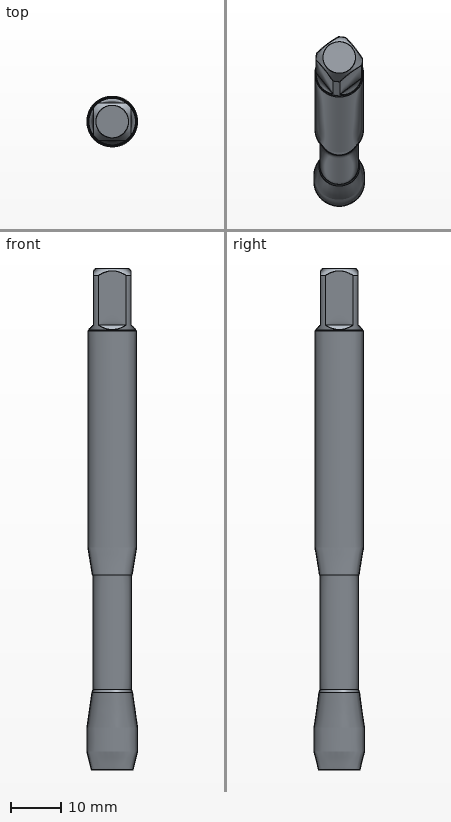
import cadquery as cq

length = 100.1

head_diameter = 10.1
tip_diameter = 8.3
head_rear_diameter = 8.1
lead_end_z = 3.6
head_cylinder_end_z = 8.4
head_end_z = 15.4

neck_diameter = 7.7
neck_start_z = 16.0
neck_end_z = 38.8
neck_shoulder_diameter = 7.9
shank_diameter = 9.7
shank_start_z = 44.3
shank_end_z = 87.6

square_width = 7.5
drive_diameter = 9.3
drive_top_diameter = 6.5
square_start_z = 88.8


def revolve_profile(points):
    """Revolve (radius, z) points about the Z axis."""
    return cq.Workplane("XZ").polyline(points).close().revolve(360, (0, 0, 0), (0, 1, 0))


def make_head():
    """Cutting head: tapered lead, cylinder and a taper towards the neck."""
    return revolve_profile([
        (0, 0),
        (tip_diameter / 2, 0),
        (head_diameter / 2, lead_end_z),
        (head_diameter / 2, head_cylinder_end_z),
        (head_rear_diameter / 2, head_end_z),
        (0, head_end_z),
    ])


def make_round_shank():
    """Neck, shank and drive blank, with 45 degree chamfers at the drive."""
    drive_chamfer = (drive_diameter - drive_top_diameter) / 2
    shank_chamfer = (shank_diameter - drive_diameter) / 2
    return revolve_profile([
        (0, head_end_z),
        (head_rear_diameter / 2, head_end_z),
        (neck_diameter / 2, neck_start_z),
        (neck_diameter / 2, neck_end_z),
        (neck_shoulder_diameter / 2, neck_end_z),
        (shank_diameter / 2, shank_start_z),
        (shank_diameter / 2, shank_end_z),
        (drive_diameter / 2, shank_end_z + shank_chamfer),
        (drive_diameter / 2, length - drive_chamfer),
        (drive_top_diameter / 2, length),
        (0, length),
    ])


def make_flat_cutter():
    """Material beside the +X flat, ending below in a 45 degree ramp."""
    flat_x = square_width / 2
    outer_x = shank_diameter
    ramp_end_z = square_start_z - (outer_x - flat_x)
    return (
        cq.Workplane("XZ")
        .polyline([
            (flat_x, length),
            (flat_x, square_start_z),
            (outer_x, ramp_end_z),
            (outer_x, length),
        ])
        .close()
        .extrude(shank_diameter, both=True)
    )


def make_shank():
    """Round shank with four flats forming the square drive."""
    shank = make_round_shank()
    cutter = make_flat_cutter()
    for angle in (0, 90, 180, 270):
        shank = shank.cut(cutter.rotate((0, 0, 0), (0, 0, 1), angle))
    return shank


head = make_head()
shank = make_shank()

result = cq.Compound.makeCompound([head.val(), shank.val()])